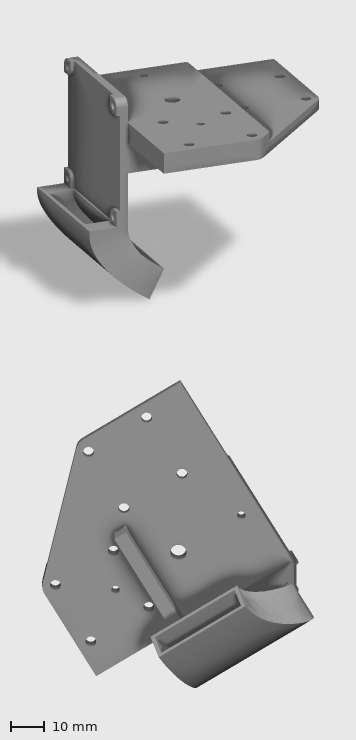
import cadquery as cq


BASE_WIDTH = 67.5
BASE_DEPTH = 63.2
BASE_THICKNESS = 6.4
TAIL_THICKNESS = 3.3
STEP_Y = 35.6
CORNER_CUT = 32.15
CORNER_RADIUS = 4.0
SELECTION_MARGIN = 0.75

BOLT_DIAMETER = 3.2
BOLT_PITCH = 20.0
TAIL_BOLTS_CENTER = (24.0, 49.2)
SIDE_BOLTS_CENTER = (53.4, 19.8)
CENTER_HOLE_DIAMETER = 4.75
CENTER_HOLE = (27.3, 19.4)
SCREW_DIAMETER = 2.5
SCREW_PITCH = 43.3

RIB_WIDTH = 4.0
RIB_LENGTH = 34.8
RIB_HEIGHT = 9.5

PANEL_SIZE = 40.0
PANEL_TOP = 14.0
PANEL_THICKNESS = 2.5
PAD_SIZE = 5.0
PAD_PROJECTION = 3.7
PAD_RADIUS = 2.5
PAD_HOLE_DIAMETER = 2.5
PANEL_BOTTOM = PANEL_TOP - PANEL_SIZE

FLANGE_DEPTH = 12.3
FLANGE_THICKNESS = 1.5
FLANGE_BOTTOM = PANEL_BOTTOM - FLANGE_THICKNESS
SLOT_LEFT = 6.1
SLOT_RIGHT = 33.9
SLOT_REAR = -3.25
SLOT_FRONT = -11.1

OUTLET_LEFT = 12.45
OUTLET_RIGHT = 42.35
OUTLET_UPPER_LIP = (10.6, -40.2)
OUTLET_LOWER_LIP = (5.9, -49.2)
REAR_BEND = (1.1, -35.1)
FRONT_BEND = (-11.85, -38.1)
DUCT_WALL = 1.2
DUCT_SECTIONS = 6


def box_between(x0, x1, y0, y1, z0, z1):
    return cq.Workplane("XY").box(x1 - x0, y1 - y0, z1 - z0, centered=False).translate((x0, y0, z0))


def bolt_square(center):
    """Centres of four holes on a square around the given point."""
    half = BOLT_PITCH / 2
    return [(center[0] + i * half, center[1] + j * half) for i in (-1, 1) for j in (-1, 1)]


def make_base():
    plate = (
        cq.Workplane("XY")
        .polyline([
            (0, 0),
            (BASE_WIDTH, 0),
            (BASE_WIDTH, BASE_DEPTH - CORNER_CUT),
            (BASE_WIDTH - CORNER_CUT, BASE_DEPTH),
            (0, BASE_DEPTH),
        ])
        .close()
        .extrude(BASE_THICKNESS)
    )
    cut_corners = cq.selectors.BoxSelector(
        (BASE_WIDTH - CORNER_CUT - SELECTION_MARGIN, BASE_DEPTH - CORNER_CUT - SELECTION_MARGIN, 0),
        (BASE_WIDTH + SELECTION_MARGIN, BASE_DEPTH + SELECTION_MARGIN, BASE_THICKNESS),
    )
    plate = plate.edges("|Z").edges(cut_corners).fillet(CORNER_RADIUS)
    plate = plate.cut(box_between(0, BASE_WIDTH, STEP_Y, BASE_DEPTH, TAIL_THICKNESS, BASE_THICKNESS))

    x, y = CENTER_HOLE
    screws = [(x - SCREW_PITCH / 2, y), (x + SCREW_PITCH / 2, y)]
    bolts = bolt_square(TAIL_BOLTS_CENTER) + bolt_square(SIDE_BOLTS_CENTER)
    for points, diameter in (
        (bolts, BOLT_DIAMETER),
        (screws, SCREW_DIAMETER),
        ([CENTER_HOLE], CENTER_HOLE_DIAMETER),
    ):
        holes = cq.Workplane("XY").pushPoints(points).circle(diameter / 2).extrude(BASE_THICKNESS)
        plate = plate.cut(holes)
    return plate


def make_rib():
    return box_between(PANEL_SIZE - RIB_WIDTH, PANEL_SIZE, 0, RIB_LENGTH, -RIB_HEIGHT, 0)


def make_panel():
    """Panel with corner pads; the upper outer corners are rounded."""
    panel = box_between(0, PANEL_SIZE, -PANEL_THICKNESS, 0, FLANGE_BOTTOM, PANEL_TOP)
    hole_inset = PAD_SIZE / 2
    for x0, inner_side in ((0, ">X"), (PANEL_SIZE - PAD_SIZE, "<X")):
        for z0, inner_end in ((PANEL_BOTTOM, ">Z"), (PANEL_TOP - PAD_SIZE, "<Z")):
            pad = box_between(x0, x0 + PAD_SIZE, -PAD_PROJECTION, 0, z0, z0 + PAD_SIZE)
            pad = pad.faces(inner_side).edges(inner_end).fillet(PAD_RADIUS)
            panel = panel.union(pad)
    panel = panel.edges("|Y").edges(">Z").edges("<X or >X").fillet(PAD_RADIUS)
    for x in (hole_inset, PANEL_SIZE - hole_inset):
        for z in (PANEL_BOTTOM + hole_inset, PANEL_TOP - hole_inset):
            hole = cq.Workplane("XZ").center(x, z).circle(PAD_HOLE_DIAMETER / 2).extrude(PAD_PROJECTION)
            panel = panel.cut(hole)
    return panel


def make_flange():
    return box_between(0, PANEL_SIZE, -FLANGE_DEPTH, 0, FLANGE_BOTTOM, PANEL_BOTTOM)


def bend_point(start, control, end, t):
    """Point on a quadratic Bezier curve in the YZ plane."""
    weights = ((1 - t) ** 2, 2 * t * (1 - t), t ** 2)
    return tuple(sum(w * p[i] for w, p in zip(weights, (start, control, end))) for i in (0, 1))


def duct_body(left, right, rear_y, front_y, wall):
    """Loft from a horizontal rectangle at the flange to the tilted outlet, inset by wall."""
    sections = []
    for i in range(DUCT_SECTIONS):
        t = i / (DUCT_SECTIONS - 1)
        ease = t * t * (3 - 2 * t)
        x0 = left + (OUTLET_LEFT + wall - left) * ease
        x1 = right + (OUTLET_RIGHT - wall - right) * ease
        rear = cq.Vector(0, *bend_point((0, FLANGE_BOTTOM), REAR_BEND, OUTLET_UPPER_LIP, t))
        front = cq.Vector(0, *bend_point((-FLANGE_DEPTH, FLANGE_BOTTOM), FRONT_BEND, OUTLET_LOWER_LIP, t))
        across = front - rear
        rear_inset = -rear_y + (wall + rear_y) * ease
        front_inset = front_y + FLANGE_DEPTH + (wall - front_y - FLANGE_DEPTH) * ease
        inner_rear = rear + across.normalized() * rear_inset
        inner_front = front - across.normalized() * front_inset
        corners = [
            cq.Vector(x, p.y, p.z)
            for x, p in ((x0, inner_rear), (x1, inner_rear), (x1, inner_front), (x0, inner_front))
        ]
        sections.append(cq.Wire.makePolygon(corners, close=True))
    return cq.Workplane(cq.Solid.makeLoft(sections))


slot = box_between(SLOT_LEFT, SLOT_RIGHT, SLOT_FRONT, SLOT_REAR, FLANGE_BOTTOM, PANEL_BOTTOM)
duct = duct_body(0, PANEL_SIZE, 0, -FLANGE_DEPTH, 0)
duct_passage = duct_body(SLOT_LEFT, SLOT_RIGHT, SLOT_REAR, SLOT_FRONT, DUCT_WALL)

result = (
    make_base()
    .union(make_rib())
    .union(make_panel())
    .union(make_flange())
    .union(duct)
    .cut(slot)
    .cut(duct_passage)
)